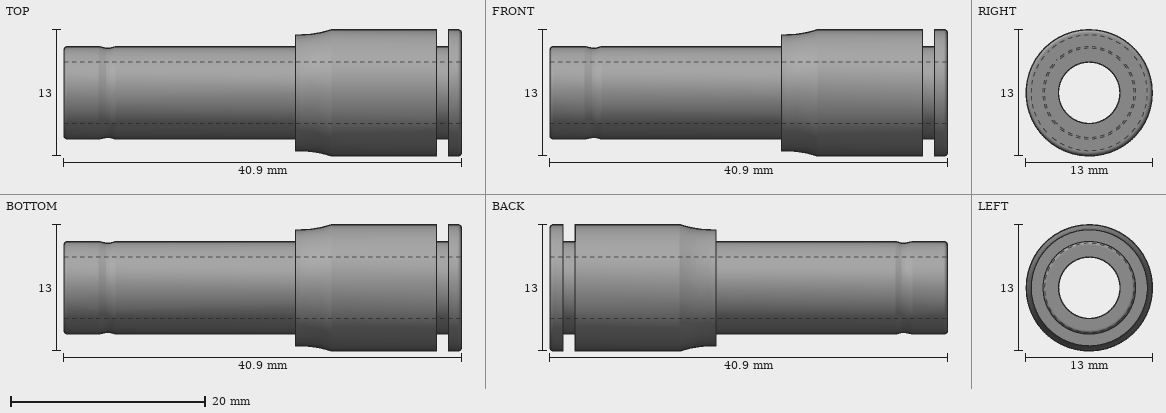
import cadquery as cq

length = 40.9
body_radius = 13.0 / 2
stem_radius = 9.53 / 2
bore_radius = 6.3 / 2

groove_start = 3.6
groove_floor_start = 4.35
groove_floor_end = 4.7
groove_end = 5.3
groove_depth = 0.15

shoulder_radius = 5.95
shoulder_start = 23.8
flare_start = 24.3
flare_end = 27.5

body_end = 38.3
collar_start = 39.55
neck_radius = stem_radius

edge_round = 0.35


def flare_midpoint():
    """Point halfway along a flare arc that leaves the shoulder parallel to the axis."""
    run = flare_end - flare_start
    rise = body_radius - shoulder_radius
    arc_radius = (run**2 + rise**2) / (2 * rise)
    half_run = run / 2
    half_rise = arc_radius - (arc_radius**2 - half_run**2) ** 0.5
    return flare_start + half_run, shoulder_radius + half_rise


def outer_solid():
    """Revolve the outer half profile, drawn as (axial position, radius)."""
    groove_radius = stem_radius - groove_depth
    profile = (
        cq.Workplane("XY")
        .lineTo(0, stem_radius)
        .lineTo(groove_start, stem_radius)
        .lineTo(groove_floor_start, groove_radius)
        .lineTo(groove_floor_end, groove_radius)
        .lineTo(groove_end, stem_radius)
        .lineTo(shoulder_start, stem_radius)
        .lineTo(shoulder_start, shoulder_radius)
        .lineTo(flare_start, shoulder_radius)
        .threePointArc(flare_midpoint(), (flare_end, body_radius))
        .lineTo(body_end, body_radius)
        .lineTo(body_end, neck_radius)
        .lineTo(collar_start, neck_radius)
        .lineTo(collar_start, body_radius)
        .lineTo(length, body_radius)
        .lineTo(length, 0)
        .close()
    )
    return profile.revolve(360, (0, 0, 0), (1, 0, 0))


def through_bore():
    """Straight bore along the whole part."""
    return cq.Workplane("YZ").circle(bore_radius).extrude(length)


rounded = outer_solid().faces("<X or >X").edges().fillet(edge_round)
result = rounded.cut(through_bore())